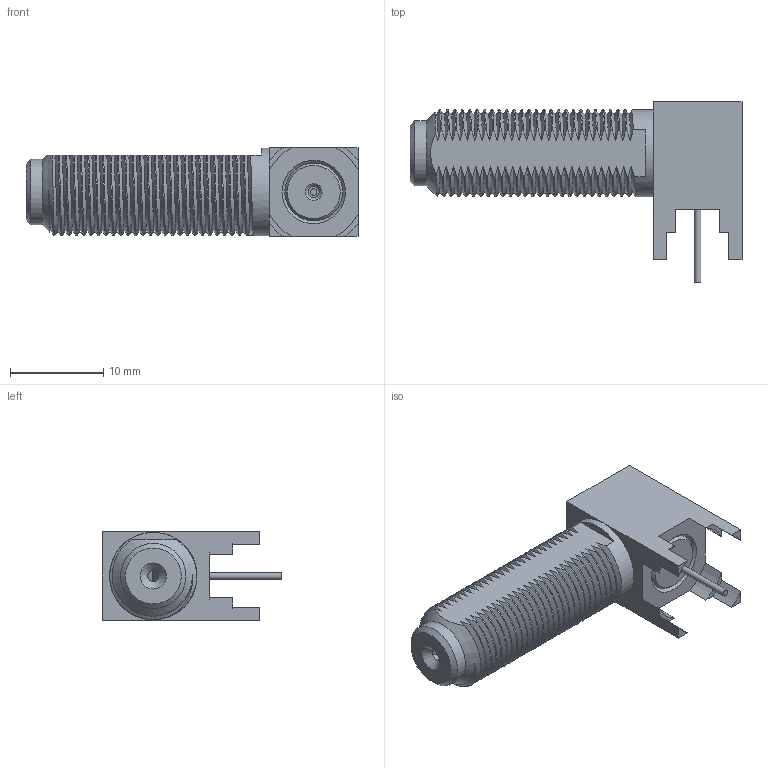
import cadquery as cq


block_side = 9.5
block_back_y = 5.5
board_face_y = -6.0
leg_step_y = -8.5
leg_tip_y = -11.4
inner_leg_radius = 5.3
outer_leg_radius = 5.8

overall_length = 35.6
tip_x = block_side / 2 - overall_length
barrel_radius = 4.68
nose_radius = 3.5
nose_length = 1.75
nose_chamfer = 0.5

inch = 25.4
threads_per_inch = 32
thread_pitch = inch / threads_per_inch
thread_turns = 28
thread_depth = 0.5
groove_width = 0.68
thread_start = 1.84
cutter_overrun = 0.05

flat_height = 3.95
flat_end_gap = 0.85

socket_mouth_radius = 1.4
socket_throat_radius = 0.6
socket_wedge_depth = 1.5
contact_gap = 0.15

ring_outer_radius = 3.4
ring_bottom_radius = 3.1
ring_inner_radius = 2.85
ring_depth = 0.3
recess_mouth_radius = 0.9
recess_floor_radius = 0.6
pin_radius = 0.35
pin_tip_y = -13.8


def cylinder_along_y(radius, start_y, end_y):
    """Solid cylinder on the pin axis running from start_y down to end_y."""
    return cq.Workplane("XZ", origin=(0, start_y, 0)).circle(radius).extrude(start_y - end_y)


def make_housing():
    """Square block whose end is bored in two steps, leaving stepped legs at the corners."""
    block = cq.Workplane("XZ", origin=(0, block_back_y, 0)).rect(block_side, block_side)
    block = block.extrude(block_back_y - leg_tip_y)
    inner_bore = cylinder_along_y(inner_leg_radius, board_face_y, leg_tip_y)
    outer_bore = cylinder_along_y(outer_leg_radius, leg_step_y, leg_tip_y)
    return block.cut(inner_bore).cut(outer_bore)


def make_barrel_rod():
    """Plain cylinder from the barrel tip to the housing."""
    rod = cq.Workplane("YZ", origin=(tip_x, 0, 0)).circle(barrel_radius)
    return rod.extrude(overall_length - block_side)


def make_nose_relief():
    """Ring removed around the tip, leaving a chamfered nose and a 45 degree shoulder."""
    shoulder_x = tip_x + nose_length
    relief_radius = barrel_radius + cutter_overrun
    return (
        cq.Workplane("XY")
        .moveTo(tip_x, nose_radius - nose_chamfer)
        .lineTo(tip_x + nose_chamfer, nose_radius)
        .lineTo(shoulder_x, nose_radius)
        .lineTo(shoulder_x + relief_radius - nose_radius, relief_radius)
        .lineTo(tip_x, relief_radius)
        .close()
        .revolve(360, (0, 0, 0), (1, 0, 0))
    )


def make_thread_cutter():
    """Helical V groove, swept along Z and then laid onto the barrel axis."""
    root_radius = barrel_radius - thread_depth
    outer_radius = barrel_radius + cutter_overrun
    half_width = groove_width / 2 * (outer_radius - root_radius) / thread_depth
    path = cq.Wire.makeHelix(thread_pitch, thread_pitch * thread_turns, root_radius)
    groove = (
        cq.Workplane("XZ")
        .moveTo(root_radius, 0)
        .lineTo(outer_radius, half_width)
        .lineTo(outer_radius, -half_width)
        .close()
        .sweep(path, isFrenet=True)
    )
    groove = groove.rotate((0, 0, 0), (0, 1, 0), 90)
    return groove.translate((tip_x + thread_start, 0, 0))


def make_flat_cutter():
    """Block that removes the barrel above the flat, stopping short of the housing."""
    end_x = -block_side / 2 - flat_end_gap
    return (
        cq.Workplane("XY", origin=(0, 0, flat_height))
        .moveTo(tip_x, -barrel_radius)
        .lineTo(end_x, -barrel_radius)
        .lineTo(end_x, barrel_radius)
        .lineTo(tip_x, barrel_radius)
        .close()
        .extrude(barrel_radius)
    )


def make_socket_cutter():
    """Conical lead-in followed by a throat closing between two converging contact faces."""
    throat_x = tip_x + socket_mouth_radius - socket_throat_radius
    floor_x = throat_x + socket_wedge_depth
    lead_in = (
        cq.Workplane("XY")
        .moveTo(tip_x, 0)
        .lineTo(tip_x, socket_mouth_radius)
        .lineTo(throat_x, socket_throat_radius)
        .lineTo(throat_x, 0)
        .close()
        .revolve(360, (0, 0, 0), (1, 0, 0))
    )
    throat = cq.Workplane("YZ", origin=(throat_x, 0, 0)).circle(socket_throat_radius)
    throat = throat.extrude(socket_wedge_depth)
    wedge = (
        cq.Workplane("XY")
        .moveTo(throat_x, -socket_throat_radius)
        .lineTo(floor_x, -contact_gap / 2)
        .lineTo(floor_x, contact_gap / 2)
        .lineTo(throat_x, socket_throat_radius)
        .close()
        .extrude(socket_throat_radius, both=True)
    )
    return lead_in.union(throat.intersect(wedge))


def make_ring_groove():
    """V groove around the insulator on the board-side face."""
    return (
        cq.Workplane("XY")
        .moveTo(ring_inner_radius, board_face_y)
        .lineTo(ring_bottom_radius, board_face_y + ring_depth)
        .lineTo(ring_outer_radius, board_face_y)
        .close()
        .revolve(360, (0, 0, 0), (0, 1, 0))
    )


def make_pin_recess():
    """Shallow 45 degree recess around the pin."""
    recess_floor_y = board_face_y + recess_mouth_radius - recess_floor_radius
    return (
        cq.Workplane("XY")
        .moveTo(0, board_face_y)
        .lineTo(recess_mouth_radius, board_face_y)
        .lineTo(recess_floor_radius, recess_floor_y)
        .lineTo(0, recess_floor_y)
        .close()
        .revolve(360, (0, 0, 0), (0, 1, 0))
    )


barrel = make_barrel_rod().cut(make_thread_cutter()).cut(make_nose_relief())
barrel = barrel.cut(make_flat_cutter()).cut(make_socket_cutter())
housing = make_housing().cut(make_ring_groove()).cut(make_pin_recess())
pin = cylinder_along_y(pin_radius, 0, pin_tip_y)

result = housing.union(barrel).union(pin)